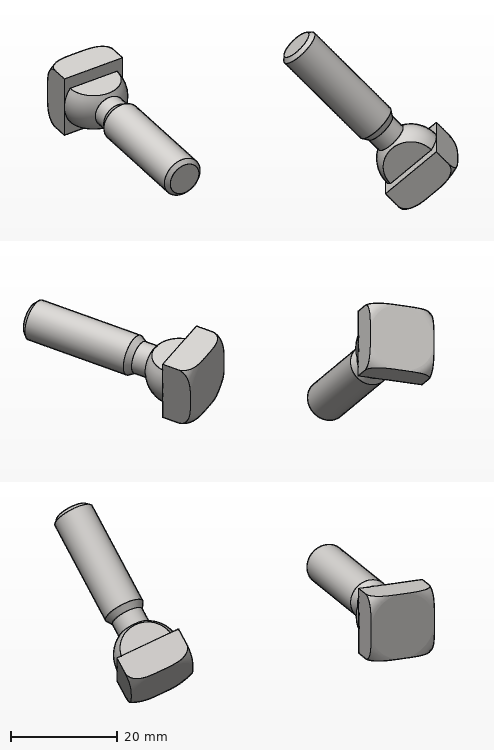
import cadquery as cq
import math

total_length = 38.0
head_width = 13.0
head_thickness = 6.0

ball_radius = head_width / 2
ball_flat_spacing = 7.7

neck_radius = 3.2
neck_end = 14.6
shank_radius = 4.0
shank_start = 15.92
tip_chamfer = 0.8

face_radius = head_width / 2
corner_radius = face_radius * math.sqrt(2)
corner_rounding = corner_radius - face_radius


def make_head():
    """Square head with its front corners trimmed by a rounded disc."""
    block = cq.Workplane("YZ").rect(head_width, head_width).extrude(head_thickness)
    arc_offset = corner_rounding * math.sqrt(0.5)
    arc_middle = (corner_rounding - arc_offset, face_radius + arc_offset)
    rounded_disc = (
        cq.Workplane("XY")
        .lineTo(0, face_radius)
        .threePointArc(arc_middle, (corner_rounding, corner_radius))
        .lineTo(head_thickness, corner_radius)
        .lineTo(head_thickness, 0)
        .close()
        .revolve(360, (0, 0, 0), (1, 0, 0))
    )
    return block.intersect(rounded_disc)


def make_ball():
    """Half ball on the back of the head, flattened above and below."""
    ball = cq.Workplane("XY").sphere(ball_radius)
    slab = cq.Workplane("XY").box(
        ball_radius, head_width, ball_flat_spacing, centered=(False, True, True)
    )
    return ball.intersect(slab).translate((head_thickness, 0, 0))


def make_shank():
    """Neck, conical shoulder and chamfered shank, turned about X."""
    return (
        cq.Workplane("XY")
        .moveTo(head_thickness, 0)
        .lineTo(head_thickness, neck_radius)
        .lineTo(neck_end, neck_radius)
        .lineTo(shank_start, shank_radius)
        .lineTo(total_length - tip_chamfer, shank_radius)
        .lineTo(total_length, shank_radius - tip_chamfer)
        .lineTo(total_length, 0)
        .close()
        .revolve(360, (0, 0, 0), (1, 0, 0))
    )


result = make_head().union(make_ball()).union(make_shank())